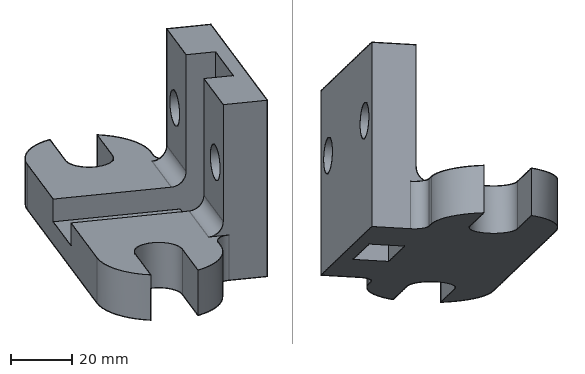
import cadquery as cq
import math

length = 124.8
depth = 60.0
height = 62.0

base_height = 16.0
lobe_radius = 21.0
slot_width = 16.0
lobe_tip_reach = math.sqrt(lobe_radius**2 - (slot_width / 2) ** 2)
lobe_x = length / 2 - lobe_tip_reach
lobe_y = lobe_radius

wall_width = 70.0
wall_thickness = 15
wall_front = depth - wall_thickness
fillet_radius = 5
fillet_mid_offset = fillet_radius * (1 - math.sqrt(0.5))
slot_end_x = wall_width / 2 + slot_width / 2

channel_width = 22.0
channel_floor = 8.0
channel_back_thickness = 5
window_length = 12.0
channel_back = depth - channel_back_thickness
window_front = channel_back - window_length

hole_diameter = 12.0
hole_spacing = 50.0
hole_z = 38.0


def block(width, y_start, y_end, z_start, z_end):
    """Box centred on the plane of symmetry."""
    size = (width, y_end - y_start, z_end - z_start)
    return cq.Workplane("XY").box(*size, centered=(True, False, False)).translate((0, y_start, z_start))


def make_base():
    base = block(2 * lobe_x, 0, 2 * lobe_radius, 0, base_height)
    lobes = (
        cq.Workplane("XY")
        .pushPoints([(-lobe_x, lobe_y), (lobe_x, lobe_y)])
        .circle(lobe_radius)
        .extrude(base_height)
    )
    return base.union(lobes)


def make_side_fillet(side):
    """Concave corner between the back of the base and a side of the wall."""
    corner_x = side * wall_width / 2
    corner_y = 2 * lobe_radius
    return (
        cq.Workplane("XY")
        .moveTo(corner_x, corner_y)
        .lineTo(corner_x + side * fillet_radius, corner_y)
        .threePointArc(
            (corner_x + side * fillet_mid_offset, corner_y + fillet_mid_offset),
            (corner_x, corner_y + fillet_radius),
        )
        .close()
        .extrude(base_height)
    )


def make_wall():
    """Wall with a concave fillet along its foot."""
    return (
        cq.Workplane("YZ")
        .moveTo(depth, 0)
        .lineTo(depth, height)
        .lineTo(wall_front, height)
        .lineTo(wall_front, base_height + fillet_radius)
        .threePointArc(
            (wall_front - fillet_mid_offset, base_height + fillet_mid_offset),
            (wall_front - fillet_radius, base_height),
        )
        .lineTo(wall_front - fillet_radius, 0)
        .close()
        .extrude(wall_width / 2, both=True)
    )


def make_slot(side):
    """Round-bottomed slot, open at the outer end of a lobe."""
    slot_run = lobe_x + lobe_radius - slot_end_x
    run_middle_x = slot_end_x + slot_run / 2
    plane = cq.Workplane("XY")
    round_end = plane.center(side * slot_end_x, lobe_y).circle(slot_width / 2).extrude(base_height)
    straight = plane.center(side * run_middle_x, lobe_y).rect(slot_run, slot_width).extrude(base_height)
    return round_end.union(straight)


def make_channel():
    channel = block(channel_width, 0, channel_back, channel_floor, height)
    window = block(channel_width, window_front, channel_back, 0, height)
    return channel.union(window)


def make_bolt_holes():
    return (
        cq.Workplane("XZ")
        .pushPoints([(-hole_spacing / 2, hole_z), (hole_spacing / 2, hole_z)])
        .circle(hole_diameter / 2)
        .extrude(-depth)
    )


result = make_base().union(make_wall())
for side in (-1, 1):
    result = result.union(make_side_fillet(side)).cut(make_slot(side))
result = result.cut(make_channel()).cut(make_bolt_holes())